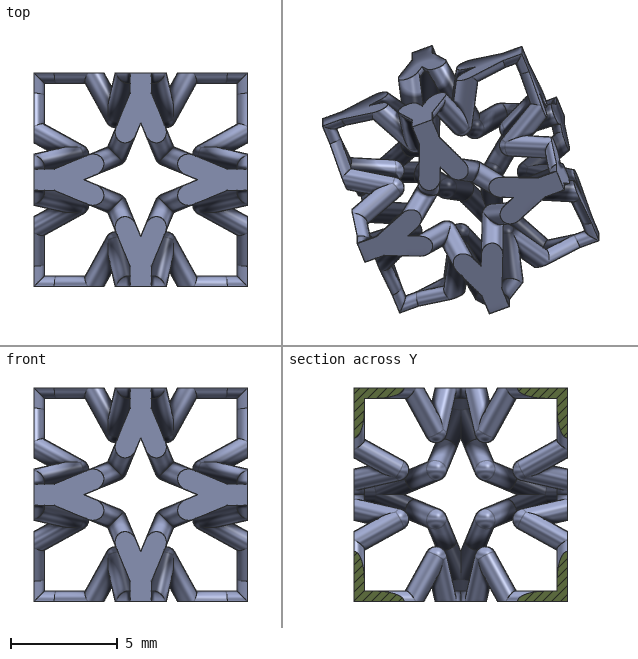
import cadquery as cq
import math

CELL = 10.0
STRUT_DIAMETER = 1.0
FORK_OFFSET = 3.95
FORK_ANGLE = math.radians(22.5)
ARM_LENGTH = 1.79
INNER_DEPTH = 2.07

HALF = CELL / 2
RADIUS = STRUT_DIAMETER / 2
CUBE = cq.Workplane("XY").box(CELL, CELL, CELL)

ARM_SLOPE = math.tan(FORK_ANGLE)
INNER_OFFSET = FORK_OFFSET * ARM_SLOPE / (1 + ARM_SLOPE)
EDGE = cq.Vector(HALF, 0, HALF)
FORK = cq.Vector(FORK_OFFSET, 0, HALF)
BEND = cq.Vector(
    FORK_OFFSET - ARM_LENGTH * math.cos(FORK_ANGLE),
    ARM_LENGTH * math.sin(FORK_ANGLE),
    HALF,
)
INNER = cq.Vector(INNER_OFFSET, INNER_OFFSET, HALF - INNER_DEPTH)


def strut(start, end):
    """Round bar between two joints, cut flush with the cube."""
    axis = end - start
    bar = cq.Workplane(cq.Solid.makeCylinder(RADIUS, axis.Length, start, axis))
    return bar.intersect(CUBE)


def joint(center):
    """Ball that rounds off the meeting of two struts."""
    return cq.Workplane("XY").sphere(RADIUS).translate(center)


def fork():
    """Edge strut with its two arms and their bent legs down to the inner joints."""
    arm = strut(FORK, BEND).union(strut(BEND, INNER)).union(joint(INNER))
    return arm.union(arm.mirror("XZ")).union(strut(EDGE, FORK))


def turned(body, axis, angle):
    """Copy of a body turned about an axis through the cell centre."""
    return body.rotate((0, 0, 0), axis, angle)


def face_frame():
    """Four forks around the top face, joined in a star."""
    quarter = fork()
    frame = quarter
    for angle in (90, 180, 270):
        frame = frame.union(turned(quarter, (0, 0, 1), angle))
    return frame


top_frame = face_frame()
result = top_frame.union(turned(top_frame, (1, 0, 0), 180))
for side_angle in (0, 90, 180, 270):
    side_frame = turned(turned(top_frame, (1, 0, 0), 90), (0, 0, 1), side_angle)
    result = result.union(side_frame)